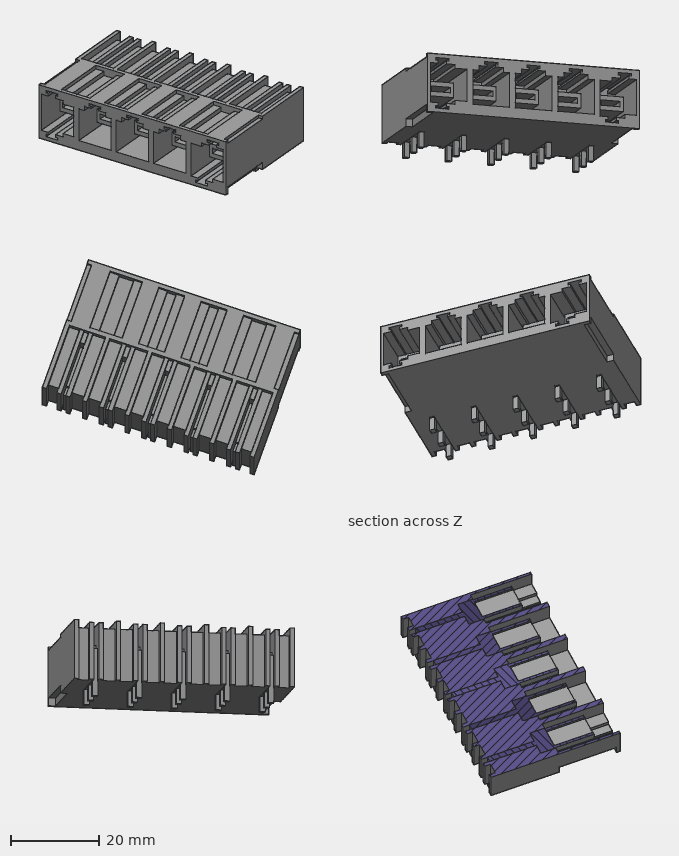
import cadquery as cq

length = 50.8
depth = 32.0
height = 13.6
mid_z = height / 2

positions = 5
pitch = 10.15
centers = [length / 2 + (i - (positions - 1) / 2) * pitch for i in range(positions)]

pocket_front = 0.95
pocket_back = 15.1
groove_front = 16.1
body_back = 30.6

cavity_half = 4.35
cavity_floor = 2.5
shoulder_z = 10.55
step_half = 2.9
step_z = 11.65
neck_half = 1.0
neck_z = 12.15
key_half = 1.6
key_z = 12.7
end_step_z = 11.45
key_offset = 1.5

key_clearance = 0.4
step_clearance = 1.1
pocket_depth = 0.9
pocket_mid_depth = 2.0

notch_top_width = 1.05
notch_top_depth = 0.7
notch_bottom_width = 1.6
notch_bottom_height = 1.8

fin_width = 1.0
slot_half = 0.55
groove_depth = 1.6
paired_fin_drop = 0.5

socket_width = 6.1
socket_height = 3.4
socket_front = 5.55
mouth_width = 4.5
mouth_height = 1.25
plate_front = 18.75
plate_step = 28.45
plate_back = 30.45
plate_half = slot_half
leg_width = 1.2
leg_length = 3.5
leg_pitch = 5.1
legs_per_contact = 3


def box(x0, x1, y0, y1, z0, z1):
    """Axis-aligned box between two corners."""
    return cq.Workplane("XY").box(x1 - x0, y1 - y0, z1 - z0, centered=False).translate((x0, y0, z0))


def cavity(outline):
    """Prism from the mating face to the inner end of the cavities; outline holds (x, z) points."""
    return cq.Workplane("XZ").polyline(outline).close().extrude(-pocket_back)


def keyway(x, z_start, z_neck, z_key):
    """Points of a T-shaped keyway, from its left foot round to its right foot."""
    left = [(x - neck_half, z_start), (x - neck_half, z_neck), (x - key_half, z_neck), (x - key_half, z_key)]
    right = [(2 * x - px, pz) for px, pz in reversed(left)]
    return left + right


def inner_cavity(x):
    """Cavity with one central keyway on top and a flat floor."""
    left_side = [(x - cavity_half, cavity_floor), (x - cavity_half, shoulder_z),
                 (x - step_half, shoulder_z), (x - step_half, step_z)]
    right_side = [(2 * x - px, pz) for px, pz in reversed(left_side)]
    return cavity(left_side + keyway(x, step_z, neck_z, key_z) + right_side)


def end_cavity_half(x, side):
    """Upper half of an end cavity, its keyway shifted towards side (-1 left, +1 right)."""
    keyway_points = keyway(x + side * key_offset, end_step_z, neck_z, key_z)
    if side > 0:
        keyway_points.reverse()
    outline = [(x + side * cavity_half, mid_z), (x + side * cavity_half, end_step_z)]
    outline += keyway_points
    outline += [(x - side * key_offset, end_step_z), (x - side * key_offset, shoulder_z),
                (x - side * cavity_half, shoulder_z), (x - side * cavity_half, mid_z)]
    return cavity(outline)


def end_cavity(x, top_side):
    """Cavity keyed on top towards top_side and underneath always towards the left."""
    lower = end_cavity_half(x, -1).mirror("XY", (0, 0, mid_z))
    return end_cavity_half(x, top_side).union(lower)


def top_pocket(x0, x1, mid_x0, mid_x1):
    """Shallow pocket with a deeper channel along its middle."""
    shallow = box(x0, x1, pocket_front, pocket_back, height - pocket_depth, height)
    deep = box(mid_x0, mid_x1, pocket_front, pocket_back, height - pocket_mid_depth, height)
    return shallow.union(deep)


def side_notches():
    """Notches in the top and bottom edges of the left side wall."""
    upper = box(0, notch_top_width, pocket_front, pocket_back, height - notch_top_depth, height)
    lower = box(0, notch_bottom_width, pocket_front, pocket_back, 0, notch_bottom_height)
    return upper.union(lower)


def fin_cutter():
    """Everything removed around the fins: the grooves between them and the space behind the body."""
    groove_floor = height - groove_depth
    cutter = box(0, length, groove_front, depth, groove_floor, height)
    cutter = cutter.union(box(0, length, body_back, depth, 0, height))
    tall_fins = [0, length - fin_width]
    tall_fins += [x + (pitch - fin_width) / 2 for x in centers[:-1]]
    for x in tall_fins:
        cutter = cutter.cut(box(x, x + fin_width, groove_front, depth, 0, height))
    for center in centers:
        for x in (center - slot_half - fin_width, center + slot_half):
            cutter = cutter.cut(box(x, x + fin_width, groove_front, depth, 0, height - paired_fin_drop))
    return cutter


def make_housing():
    housing = box(0, length, 0, depth, 0, height)
    housing = housing.cut(fin_cutter())

    housing = housing.cut(end_cavity(centers[0], -1))
    housing = housing.cut(end_cavity(centers[-1], 1))
    for x in centers[1:-1]:
        housing = housing.cut(inner_cavity(x))

    key_reach = key_half + key_clearance
    inner_reach = step_half + step_clearance
    end_reach = key_offset + step_clearance
    key_shift = [-key_offset, 0, 0, 0, key_offset]
    reach = [end_reach, inner_reach, inner_reach, inner_reach, end_reach]
    for i in range(positions - 1):
        left, right = centers[i], centers[i + 1]
        housing = housing.cut(top_pocket(left + key_shift[i] + key_reach, right + key_shift[i + 1] - key_reach,
                                         left + reach[i], right - reach[i + 1]))

    notches = side_notches()
    housing = housing.cut(notches).cut(notches.mirror("YZ", (length / 2, 0, 0)))

    for x in centers:
        housing = housing.cut(socket_block(x))
        housing = housing.cut(box(x - plate_half, x + plate_half, plate_front, depth, 0, height))
    return housing


def socket_block(x):
    """Solid block that runs from inside the cavity through the window in its end wall."""
    return box(x - socket_width / 2, x + socket_width / 2, socket_front, plate_front,
               mid_z - socket_height / 2, mid_z + socket_height / 2)


def make_contact(x):
    """Socket with a flat mouth, and behind it an upright plate with a row of legs."""
    mouth = box(x - mouth_width / 2, x + mouth_width / 2, socket_front, pocket_back,
                mid_z - mouth_height / 2, mid_z + mouth_height / 2)
    plate = box(x - plate_half, x + plate_half, plate_front, plate_step, 0, mid_z + socket_height / 2)
    low_plate = box(x - plate_half, x + plate_half, plate_step, plate_back, 0, mid_z + mouth_height / 2)
    contact = socket_block(x).cut(mouth).union(plate).union(low_plate)
    for i in range(legs_per_contact):
        y1 = plate_back - i * leg_pitch
        contact = contact.union(box(x - leg_width / 2, x + leg_width / 2, y1 - leg_width, y1, -leg_length, 0))
    return contact


housing = make_housing()
contacts = [make_contact(x) for x in centers]

result = cq.Compound.makeCompound([housing.solids().val(), *[contact.solids().val() for contact in contacts]])